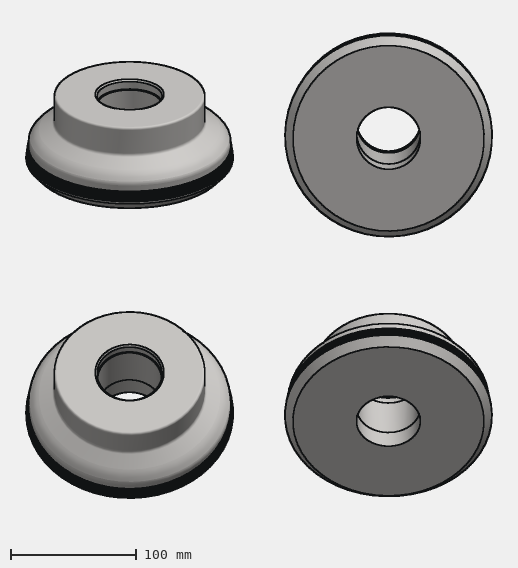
import cadquery as cq
import math

total_height = 63.5
max_radius = 82.5

bore_radius = 25.4
mouth_radius = 25.9
mouth_chamfer = 1.5
mouth_depth = 8.1
seat_height = 0.7

base_height = 17.3
base_bottom_radius = 76.0
land_bottom = 7.1
land_height = 1.0
cone_top_radius = 81.2

groove_depth = 0.2
fine_groove_width = 0.2
fine_groove_pitch = 1.0
fine_groove_count = 2
wide_groove_width = 0.8
wide_groove_heights = [11.7, 13.4, 15.0, 16.0]

skirt_radius = 80.5
skirt_top = 22.5
shoulder_radius = 5.0
ogive_radius = 20.8
ogive_bottom_slope = 53.0
ogive_top_slope = 30.0
ogive_top_radius = 72.3
hub_radius = 60.0
hub_top_fillet = 2.0
neck_bottom = 40.9
neck_fillet = 3.0


def point_on_arc(center, radius, degrees):
    """Point (r, z) on a circle, with the angle measured from the outward direction."""
    angle = math.radians(degrees)
    return center[0] + radius * math.cos(angle), center[1] + radius * math.sin(angle)


def revolve_about_z(profile):
    return profile.close().revolve(360, (0, 0, 0), (0, 1, 0))


land_top = land_bottom + land_height


def cone_radius(z):
    """Radius of the ungrooved cone of the base ring at height z."""
    share = (z - land_top) / (base_height - land_top)
    return max_radius + share * (cone_top_radius - max_radius)


def cut_groove(profile, z, width):
    """Run the profile up the cone and through one V groove centred at height z."""
    low = z - width / 2
    high = z + width / 2
    return (
        profile.lineTo(cone_radius(low), low)
        .lineTo(cone_radius(z) - groove_depth, z)
        .lineTo(cone_radius(high), high)
    )


def make_base_ring():
    profile = (
        cq.Workplane("XZ")
        .moveTo(bore_radius, 0)
        .lineTo(base_bottom_radius, 0)
        .lineTo(max_radius, land_bottom)
        .lineTo(max_radius, land_top)
    )
    for i in range(fine_groove_count):
        z = land_top + (i + 1) * fine_groove_pitch
        profile = cut_groove(profile, z, fine_groove_width)
    for z in wide_groove_heights:
        profile = cut_groove(profile, z, wide_groove_width)
    profile = profile.lineTo(cone_top_radius, base_height).lineTo(bore_radius, base_height)
    return revolve_about_z(profile)


def make_hub():
    shoulder_center = (skirt_radius - shoulder_radius, skirt_top)
    shoulder_angle = 90 - ogive_bottom_slope
    shoulder_mid = point_on_arc(shoulder_center, shoulder_radius, shoulder_angle / 2)
    shoulder_end = point_on_arc(shoulder_center, shoulder_radius, shoulder_angle)

    neck_center = (hub_radius + neck_fillet, neck_bottom)
    neck_start_angle = 270 - ogive_top_slope
    neck_start = point_on_arc(neck_center, neck_fillet, neck_start_angle)
    neck_mid = point_on_arc(neck_center, neck_fillet, (180 + neck_start_angle) / 2)

    cone_drop = (ogive_top_radius - neck_start[0]) * math.tan(math.radians(ogive_top_slope))
    ogive_top = (ogive_top_radius, neck_start[1] - cone_drop)
    ogive_center = point_on_arc(ogive_top, ogive_radius, 270 - ogive_top_slope)
    ogive_mid_angle = 90 - (ogive_top_slope + ogive_bottom_slope) / 2
    ogive_mid = point_on_arc(ogive_center, ogive_radius, ogive_mid_angle)
    ogive_bottom = point_on_arc(ogive_center, ogive_radius, shoulder_angle)

    rim_center = (hub_radius - hub_top_fillet, total_height - hub_top_fillet)
    rim_mid = point_on_arc(rim_center, hub_top_fillet, 45)

    seat_top = total_height - mouth_depth
    profile = (
        cq.Workplane("XZ")
        .moveTo(bore_radius, base_height)
        .lineTo(skirt_radius, base_height)
        .lineTo(skirt_radius, skirt_top)
        .threePointArc(shoulder_mid, shoulder_end)
        .lineTo(*ogive_bottom)
        .threePointArc(ogive_mid, ogive_top)
        .lineTo(*neck_start)
        .threePointArc(neck_mid, (hub_radius, neck_bottom))
        .lineTo(hub_radius, rim_center[1])
        .threePointArc(rim_mid, (rim_center[0], total_height))
        .lineTo(mouth_radius + mouth_chamfer, total_height)
        .lineTo(mouth_radius, total_height - mouth_chamfer)
        .lineTo(mouth_radius, seat_top)
        .lineTo(bore_radius, seat_top - seat_height)
    )
    return revolve_about_z(profile)


base_ring = make_base_ring()
hub = make_hub()

result = cq.Compound.makeCompound([base_ring.val(), hub.val()])